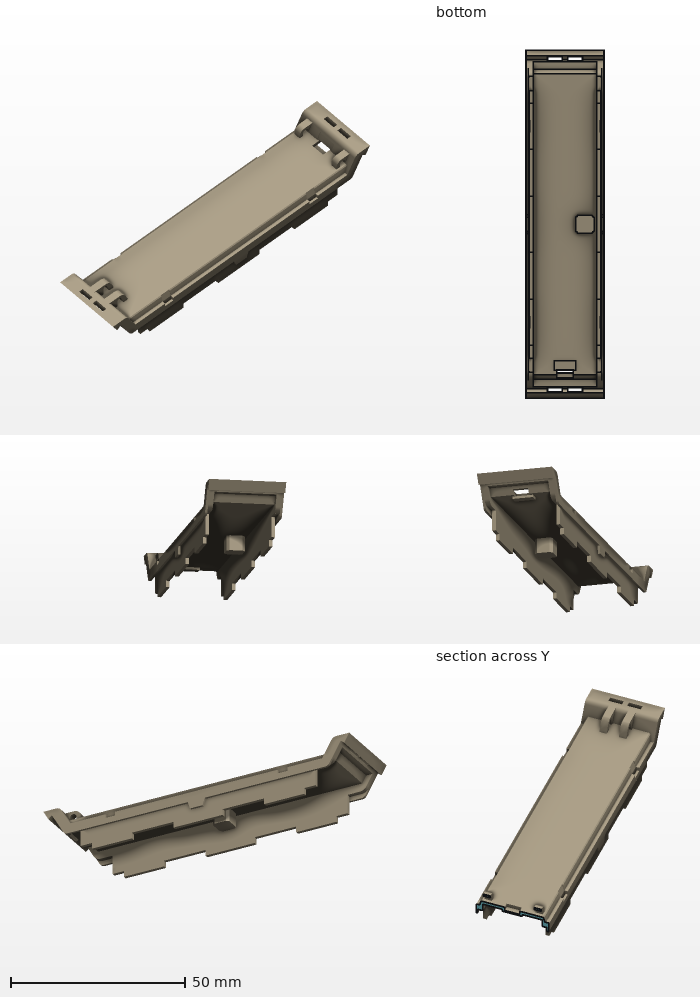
import cadquery as cq
import math

width = 22.5
length = 100.0
height = 15.5

skirt_bottom = 6.45
ledge_top = 9.45
ledge_bottom = 7.85
deck_top = 11.6
deck_bottom = 10.35

wall_angle = math.radians(60)
floor_half_length = 41.2
end_wall = 3.1
end_skin = 1.25
hook_tip_z = 12.65
hook_root_z = 13.6
flange_fillet = 1.8
heel_fillet = 1.5
inner_heel_fillet = 2.7

pocket_half_width = 9.1
skirt_thickness = 0.7
skirt_inner = width / 2 - skirt_thickness
deck_half_width = 9.45
deck_foot_half_width = 10.2
deck_edge_chamfer = 0.3

pocket_top = 12.6

tab_bottom = 4.2
tab_top_half_length = 2.75
tab_bottom_half_length = 2.05

rail_outer = deck_foot_half_width
rail_half_length = 38.4
rail_bottom = 1.85
centre_foot_half_length = 8.05
end_foot_length = 13.1
end_foot_y = 28.15

notch_y = end_foot_y
notch_length = 3.2
notch_bottom = 8.25
slit_width = 0.35

slot_x = 2.9
slot_length = 4.2
slot_near = 46.9
slot_far = 48.3
slot_far_bottom = 48.0

arm_width = 2.25
rear_arm_x = 7.85
rear_arm_top = 14.5
rear_arm_end = 39.1
rear_arm_radius = 2.0
rear_arch_near = 40.4
rear_arch_far = 42.6
rear_arch_top = 13.6
front_arm_x = 3.0
front_arm_end = 37.6
front_arm_flat_end = 41.2
front_arch_near = 39.4
front_arch_far = 41.75
front_arch_lean = 0.5
front_arch_top = 14.6

window_half_width = 2.3
window_near = 39.95
window_far = 42.7
window_floor_end = 41.85
window_floor = 10.35
cup_half_width = 3.1
cup_wall = 0.7
recess_half_width = 3.0
recess_depth = 0.12
recess_top_z = 13.75

post_x = 5.7
post_size = 5.3
post_chamfer = 0.75
post_bottom = 5.95


def wall_y(z, depth=0.0):
    """Y of the end wall at height z, at a depth behind its inner face."""
    return floor_half_length + (z - ledge_top) / math.tan(wall_angle) + depth / math.sin(wall_angle)


def box(x_range, y_range, z_range):
    """Box between pairs of limits."""
    spans = [r[1] - r[0] for r in (x_range, y_range, z_range)]
    return cq.Workplane("XY").box(*spans, centered=False).translate((x_range[0], y_range[0], z_range[0]))


def prism_x(sketch_points, x_start, x_end):
    """Prism along X from a (Y, Z) outline."""
    sketch = cq.Workplane("YZ", origin=(x_start, 0, 0)).polyline(sketch_points).close()
    return sketch.extrude(x_end - x_start)


def mirrored(half_points):
    """Close a +Y half outline with its mirror image."""
    return half_points + [(-y, z) for y, z in reversed(half_points)]


def at_line(solid, y, z):
    """Edges parallel to X lying at +Y and -Y of a place in the side profile."""
    reach = 0.05
    picked = solid.edges("|X")
    selectors = [
        cq.selectors.BoxSelector((-width, s * y - reach, z - reach), (width, s * y + reach, z + reach))
        for s in (1, -1)
    ]
    return picked.edges(selectors[0] + selectors[1])


def channel(half_width, bottom, heel_radius):
    """Boat-shaped channel: floor, inclined end walls and hooked flanges."""
    half_length = length / 2
    tip_y = half_length - (height - hook_tip_z) / math.tan(wall_angle)
    inner_top_y = wall_y(height)
    heel_y = wall_y(bottom, end_wall)
    half_points = [
        (heel_y, bottom),
        (wall_y(hook_root_z, end_wall), hook_root_z),
        (tip_y, hook_tip_z),
        (half_length, height),
        (inner_top_y, height),
        (floor_half_length, ledge_top),
    ]
    solid = prism_x(mirrored(half_points), -half_width, half_width)
    solid = at_line(solid, inner_top_y, height).fillet(flange_fillet)
    return at_line(solid, heel_y, bottom).fillet(heel_radius)


def tray():
    """Channel with deep side skirts, raised deck and open underside."""
    body = channel(width / 2, skirt_bottom, heel_fillet)
    inner_space = box((-skirt_inner, skirt_inner), (-length, length), (0, height))
    body = body.cut(inner_space).union(channel(skirt_inner, ledge_bottom, inner_heel_fillet))

    deck_end = wall_y(deck_top)
    deck_section = [
        (deck_foot_half_width, ledge_bottom),
        (deck_foot_half_width, ledge_top),
        (deck_half_width + deck_edge_chamfer, deck_top - deck_edge_chamfer),
        (deck_half_width, deck_top),
    ]
    deck = cq.Workplane("XZ", origin=(0, deck_end, 0)).polyline(mirrored(deck_section)).close()
    body = body.union(deck.extrude(2 * deck_end))

    pocket_outline = mirrored([
        (length, 0),
        (length, pocket_top),
        (wall_y(pocket_top, end_skin), pocket_top),
        (wall_y(deck_bottom, end_skin), deck_bottom),
    ])
    return body.cut(prism_x(pocket_outline, -pocket_half_width, pocket_half_width))


def skirt_tab(side):
    """Tapered tab hanging from the middle of a skirt."""
    outline = mirrored([(tab_bottom_half_length, tab_bottom), (tab_top_half_length, skirt_bottom)])
    return prism_x(outline, *sorted((side * skirt_inner, side * width / 2)))


def rail(side):
    """Long rail under the tray, standing on three feet."""
    x_range = sorted((side * pocket_half_width, side * rail_outer))
    solid = box(x_range, (-rail_half_length, rail_half_length), (rail_bottom, ledge_top))
    feet = [
        (0, centre_foot_half_length),
        (end_foot_y, end_foot_length / 2),
        (-end_foot_y, end_foot_length / 2),
    ]
    for y, half in feet:
        solid = solid.union(box(x_range, (y - half, y + half), (0, rail_bottom)))
    return solid


def side_notch(side, y):
    """Notch in the ledge with a leaning inner face and a slit below it."""
    outline = [
        (side * width, notch_bottom),
        (side * rail_outer, notch_bottom),
        (side * rail_outer, ledge_top),
        (side * deck_half_width, deck_top),
        (side * width, deck_top),
    ]
    start = y + notch_length / 2
    notch = cq.Workplane("XZ", origin=(0, start, 0)).polyline(outline).close().extrude(notch_length)
    slit_x = sorted((side * rail_outer, side * (rail_outer + slit_width)))
    return notch.union(box(slit_x, (y - notch_length / 2, start), (skirt_bottom, ledge_top)))


def arched_opening(x, near, far, top, lean=0.0):
    """Round-topped opening through an arm, spanning near to far along Y."""
    radius = (far - near - lean) / 2
    spring = top - radius
    sketch = (
        cq.Workplane("YZ", origin=(x - arm_width / 2, 0, 0))
        .moveTo(near, deck_top)
        .lineTo(near + lean, spring)
        .threePointArc((far - radius, top), (far, spring))
        .lineTo(far, deck_top)
        .close()
    )
    return sketch.extrude(arm_width)


def rear_arm(x):
    """Round-nosed arm on the +Y end wall."""
    outline = [
        (rear_arm_end, deck_top),
        (rear_arm_end, rear_arm_top),
        (wall_y(rear_arm_top, end_skin / 2), rear_arm_top),
        (wall_y(deck_top, end_skin / 2), deck_top),
    ]
    arm = prism_x(outline, x - arm_width / 2, x + arm_width / 2)
    arm = at_line(arm, rear_arm_end, rear_arm_top).fillet(rear_arm_radius)
    return arm.cut(arched_opening(x, rear_arch_near, rear_arch_far, rear_arch_top))


def front_arm(x):
    """Sloping-nosed arm on the -Y end wall, level with the flange."""
    nose = cq.Workplane("YZ", origin=(x - arm_width / 2, 0, 0)).moveTo(front_arm_end, deck_top)
    nose = nose.spline(
        [(front_arm_flat_end, height)],
        tangents=[(math.cos(wall_angle), math.sin(wall_angle)), (1, 0)],
        includeCurrent=True,
    )
    outline = nose.lineTo(wall_y(height, end_skin), height)
    outline = outline.lineTo(wall_y(deck_top, end_skin / 2), deck_top).close()
    arm = outline.extrude(arm_width)
    arm = arm.cut(arched_opening(x, front_arch_near, front_arch_far, front_arch_top, front_arch_lean))
    return arm.mirror("XZ")


def add_window(body):
    """Latch window: recess in the end wall, cupped floor and through opening."""
    recess = prism_x(
        [
            (wall_y(deck_top), deck_top),
            (wall_y(deck_top, recess_depth), deck_top),
            (wall_y(recess_top_z, recess_depth), recess_top_z),
            (wall_y(recess_top_z), recess_top_z),
        ],
        -recess_half_width,
        recess_half_width,
    )
    cup = box(
        (-cup_half_width, cup_half_width),
        (window_near - cup_wall, window_floor_end),
        (window_floor - cup_wall, deck_top),
    )
    x_range = (-window_half_width, window_half_width)
    hollow = box(x_range, (window_near, window_far), (window_floor, recess_top_z))
    opening = box(x_range, (window_floor_end, window_far), (skirt_bottom, recess_top_z))
    sill_z = ledge_top + (window_far - wall_y(ledge_top, recess_depth)) * math.tan(wall_angle)
    outlet = box(x_range, (window_floor_end, wall_y(sill_z, end_wall)), (skirt_bottom, sill_z))
    return body.union(cup).cut(recess).cut(hollow).cut(opening).cut(outlet)


def post():
    """Square post with chamfered corners under the deck."""
    solid = box(
        (post_x - post_size / 2, post_x + post_size / 2),
        (-post_size / 2, post_size / 2),
        (post_bottom, deck_bottom),
    )
    return solid.edges("|Z").chamfer(post_chamfer)


def flange_slot(x, end):
    """Slot down through a flange and its hook, narrowing towards the bottom."""
    outline = [
        (end * slot_near, skirt_bottom),
        (end * slot_far_bottom, skirt_bottom),
        (end * slot_far_bottom, hook_tip_z),
        (end * slot_far, height),
        (end * slot_near, height),
    ]
    return prism_x(outline, x - slot_length / 2, x + slot_length / 2)


result = add_window(tray()).union(post())
for side in (1, -1):
    result = result.union(skirt_tab(side)).union(rail(side))
    result = result.union(rear_arm(side * rear_arm_x)).union(front_arm(side * front_arm_x))
for side in (1, -1):
    for end in (1, -1):
        result = result.cut(side_notch(side, end * notch_y))
        result = result.cut(flange_slot(side * slot_x, end))